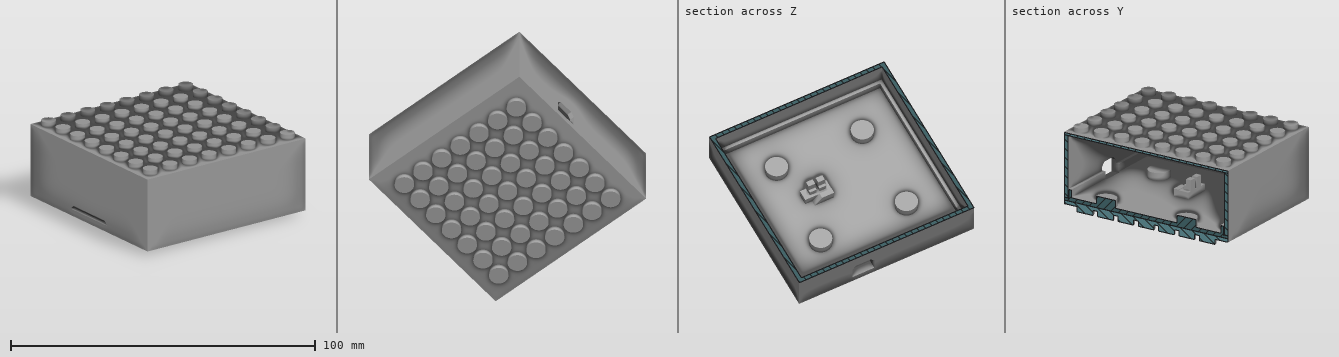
import cadquery as cq

SIDE = 64.6
HEIGHT = 28.8
STUD_HEIGHT = 1.8
TOP_PLATE_THICKNESS = 1.0
LID_THICKNESS = 1.05
BASE_THICKNESS = 1.2
TUBE_HEIGHT = 1.8

BOTTOM = -HEIGHT / 2
BASE_BOTTOM = BOTTOM + TUBE_HEIGHT
LID_BOTTOM = BASE_BOTTOM + BASE_THICKNESS
HOUSING_BOTTOM = LID_BOTTOM + LID_THICKNESS
STUD_BOTTOM = HEIGHT / 2 - STUD_HEIGHT
HOUSING_TOP = STUD_BOTTOM - TOP_PLATE_THICKNESS
HOUSING_HEIGHT = HOUSING_TOP - HOUSING_BOTTOM

PITCH = 8.0
STUDS_PER_SIDE = 8
STUD_DIAMETER = 4.9
TUBES_PER_SIDE = STUDS_PER_SIDE - 1
TUBE_DIAMETER = 6.4

WALL = 1.6
WINDOW_WIDTH = 8.0
WINDOW_HEIGHT = 5.9
WINDOW_CHAMFER = 1.35
WINDOW_CENTER_Y = 8.5
NOTCH_TOP_WIDTH = 16.9
NOTCH_BOTTOM_WIDTH = 20.3
NOTCH_HEIGHT = 1.4

LIP_GAP = 0.2
LIP_THICKNESS = 1.15
LIP_HEIGHT = 3.2
FLOOR_RISE = 0.5
BOSS_DIAMETER = 7.6
BOSS_SPACING = 31.65
LIP_OUTER_SIDE = SIDE - 2 * (WALL + LIP_GAP)
LIP_INNER_SIDE = LIP_OUTER_SIDE - 2 * LIP_THICKNESS
FLOOR_TOP = HOUSING_BOTTOM + FLOOR_RISE
LIP_TOP = HOUSING_BOTTOM + LIP_HEIGHT

BAR_DEPTH = 3.9
BAR_WIDTH = 9.7
BAR_CENTER_Y = WINDOW_CENTER_Y
BAR_DROP = 0.25
BAR_TOP = LIP_TOP - BAR_DROP
FOOT_DEPTH = 1.95
FOOT_RIGHT_Y = BAR_CENTER_Y - BAR_WIDTH / 2
FOOT_LEFT_Y = 10.85
TOWER_WIDTH = 2.45
TOWER_PITCH = 3.55
TOWERS_CENTER_Y = 8.15
TOWER_STEP_HEIGHT = 1.6
TOWER_HEIGHT = 3.9
TOWER_FRONT = 1.0
TOWER_UPPER_FRONT = BAR_DEPTH / 2


def square_slab(side, bottom, height):
    """Square slab centred on the Z axis."""
    return cq.Workplane("XY", origin=(0, 0, bottom)).rect(side, side).extrude(height)


def round_grid(count, diameter, bottom, height):
    """Square grid of round pegs on the brick pitch."""
    return (
        cq.Workplane("XY", origin=(0, 0, bottom))
        .rarray(PITCH, PITCH, count, count)
        .circle(diameter / 2)
        .extrude(height)
    )


def cable_window(depth):
    """Window cutter with chamfered top corners, reaching inward from the -X side."""
    return (
        cq.Workplane("XY", origin=(-SIDE / 2, WINDOW_CENTER_Y, HOUSING_BOTTOM))
        .box(depth, WINDOW_WIDTH, WINDOW_HEIGHT, centered=(False, True, False))
        .edges("|X and >Z")
        .chamfer(WINDOW_CHAMFER)
    )


def pry_notch():
    """Trapezoid cutter on the -Y bottom edge, with a 45 degree sloping roof."""
    outline = (
        cq.Workplane("XZ", origin=(0, -SIDE / 2, HOUSING_BOTTOM))
        .moveTo(-NOTCH_BOTTOM_WIDTH / 2, 0)
        .lineTo(NOTCH_BOTTOM_WIDTH / 2, 0)
        .lineTo(NOTCH_TOP_WIDTH / 2, NOTCH_HEIGHT)
        .lineTo(-NOTCH_TOP_WIDTH / 2, NOTCH_HEIGHT)
        .close()
        .extrude(-NOTCH_HEIGHT)
    )
    wedge = (
        cq.Workplane("YZ", origin=(-NOTCH_BOTTOM_WIDTH / 2, -SIDE / 2, HOUSING_BOTTOM))
        .lineTo(NOTCH_HEIGHT, 0)
        .lineTo(0, NOTCH_HEIGHT)
        .close()
        .extrude(NOTCH_BOTTOM_WIDTH)
    )
    return outline.intersect(wedge)


def make_top_plate():
    plate = square_slab(SIDE, HOUSING_TOP, TOP_PLATE_THICKNESS)
    return plate.union(round_grid(STUDS_PER_SIDE, STUD_DIAMETER, STUD_BOTTOM, STUD_HEIGHT))


def make_housing():
    walls = square_slab(SIDE, HOUSING_BOTTOM, HOUSING_HEIGHT)
    walls = walls.cut(square_slab(SIDE - 2 * WALL, HOUSING_BOTTOM, HOUSING_HEIGHT))
    return walls.cut(cable_window(WALL)).cut(pry_notch())


def make_lid():
    plate = square_slab(SIDE, LID_BOTTOM, LID_THICKNESS)
    cavity = square_slab(LIP_INNER_SIDE, HOUSING_BOTTOM, LIP_HEIGHT)
    lip = square_slab(LIP_OUTER_SIDE, HOUSING_BOTTOM, LIP_HEIGHT).cut(cavity)
    lip = lip.cut(cable_window(WALL + LIP_GAP + LIP_THICKNESS))
    floor = square_slab(LIP_INNER_SIDE, HOUSING_BOTTOM, FLOOR_RISE)
    ramp = (
        cq.Workplane("XZ", origin=(-LIP_INNER_SIDE / 2, WINDOW_CENTER_Y, HOUSING_BOTTOM))
        .lineTo(0, FLOOR_RISE)
        .lineTo(FLOOR_RISE, FLOOR_RISE)
        .close()
        .extrude(WINDOW_WIDTH / 2, both=True)
    )
    bosses = (
        cq.Workplane("XY", origin=(0, 0, HOUSING_BOTTOM))
        .rect(BOSS_SPACING, BOSS_SPACING, forConstruction=True)
        .vertices()
        .circle(BOSS_DIAMETER / 2)
        .extrude(LIP_HEIGHT)
    )
    return plate.union(lip).union(floor.cut(ramp)).union(bosses)


def make_base_plate():
    plate = square_slab(SIDE, BASE_BOTTOM, BASE_THICKNESS)
    return plate.union(round_grid(TUBES_PER_SIDE, TUBE_DIAMETER, BOTTOM, TUBE_HEIGHT))


def insert_block(center_y, width, bottom, top, front):
    """Block of the insert between two levels, from the given front X to the back of the bar."""
    return cq.Workplane("XY", origin=(front, center_y, bottom)).box(
        BAR_DEPTH - front, width, top - bottom, centered=(False, True, False)
    )


def insert_foot():
    """Plate in front of the bar, with its +Y end sloping at 45 degrees."""
    ramp_run = LIP_TOP - FLOOR_TOP
    return (
        cq.Workplane("YZ", origin=(-FOOT_DEPTH, 0, 0))
        .moveTo(FOOT_RIGHT_Y, FLOOR_TOP)
        .lineTo(FOOT_LEFT_Y, FLOOR_TOP)
        .lineTo(FOOT_LEFT_Y - ramp_run, LIP_TOP)
        .lineTo(FOOT_RIGHT_Y, LIP_TOP)
        .close()
        .extrude(FOOT_DEPTH)
    )


def make_insert():
    insert = insert_block(BAR_CENTER_Y, BAR_WIDTH, FLOOR_TOP, BAR_TOP, 0).union(insert_foot())
    step_top = BAR_TOP + TOWER_STEP_HEIGHT
    tower_top = BAR_TOP + TOWER_HEIGHT
    for side in (-1, 1):
        tower_y = TOWERS_CENTER_Y + side * TOWER_PITCH / 2
        insert = insert.union(insert_block(tower_y, TOWER_WIDTH, BAR_TOP, step_top, TOWER_FRONT))
        insert = insert.union(insert_block(tower_y, TOWER_WIDTH, step_top, tower_top, TOWER_UPPER_FRONT))
    return insert


top_plate = make_top_plate()
housing = make_housing()
lid = make_lid()
base_plate = make_base_plate()
insert = make_insert()

result = cq.Compound.makeCompound(
    [top_plate.val(), housing.val(), lid.val(), base_plate.val(), insert.val()]
)